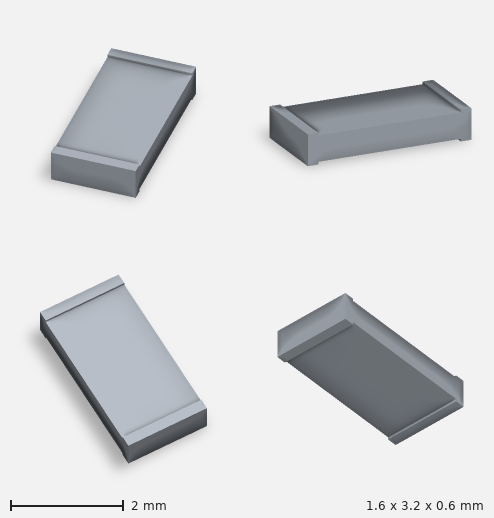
import cadquery as cq

width = 1.6
length = 3.2
height = 0.6

terminal_length = 0.205
terminal_step = 0.05

body_length = length - 2 * terminal_length
body_height = height - 2 * terminal_step

body = cq.Workplane("XY").box(width, body_length, body_height)


def terminal(side):
    """Full-height end block; side is -1 or +1 along Y."""
    center_y = side * (length - terminal_length) / 2
    return cq.Workplane("XY").box(width, terminal_length, height).translate((0, center_y, 0))


result = body
for side in (-1, 1):
    result = result.union(terminal(side))
result = result.clean()